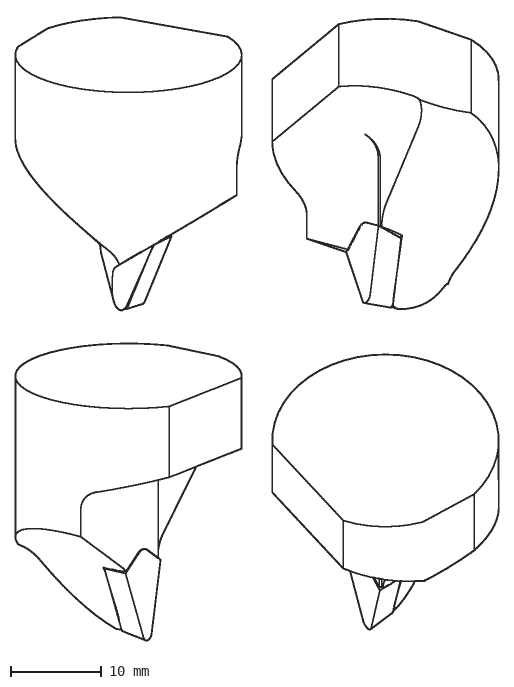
import cadquery as cq
import math

SHANK_DIAMETER = 25.0
FLAT_X = -12.0
FLAT_Y = 10.5
TOOL_LENGTH = 30.0
MARGIN = 9.0

WALL_Y = 2.13
PAD_Y = 2.43
PAD_LEFT_X = -2.25
GULLET_REAR_Z = -8.15
GULLET_CEILING_ANGLE = 14.5
PAD_FILLET = 2.25
WALL_FILLET = 2.55

RAKE_Y = 2.55
INSERT_THICKNESS = 3.3
CLEARANCE_ANGLE = 8.0
NOSE_RADIUS = 0.8
NOSE_X = -0.05
LEFT_EDGE_ANGLE = 11.7
RIGHT_EDGE_ANGLE = 22.3
SHOULDER_Z = -21.3
ROOF_ANGLE = 35.0
ROOF_DIAMETER = 2.8

NECK_FILLET = 3.5
NECK_Z = -21.1
NECK_X = -2.55
LEFT_FLANK_ANGLE = 45.0
LEFT_TIP_ANGLE = 13.8
RELIEF_AXIS_X = 13.15
RELIEF_AXIS_Y = 2.13
RIGHT_FLANK_ANGLE = 35.0
RIGHT_TIP_ANGLE = 23.8
RIGHT_FLANK_Z = -14.95
RIGHT_SETBACK = 0.2
HOLDER_TIP_Z = -29.4

SHANK_RADIUS = SHANK_DIAMETER / 2
INSERT_BACK_Y = RAKE_Y - INSERT_THICKNESS
LEFT_SLOPE = math.tan(math.radians(LEFT_EDGE_ANGLE))
RIGHT_SLOPE = math.tan(math.radians(RIGHT_EDGE_ANGLE))
NOSE_Z = NOSE_RADIUS - TOOL_LENGTH
RIGHT_INSET = (
    INSERT_THICKNESS * math.tan(math.radians(CLEARANCE_ANGLE)) / math.cos(math.radians(RIGHT_EDGE_ANGLE))
)


def polar(center, radius, angle):
    """Point on a circle, with the angle in degrees from +X."""
    turn = math.radians(angle)
    return center[0] + radius * math.cos(turn), center[1] + radius * math.sin(turn)


NOSE_LEFT = polar((NOSE_X, NOSE_Z), NOSE_RADIUS, 180 + LEFT_EDGE_ANGLE)
NOSE_RIGHT = polar((NOSE_X, NOSE_Z), NOSE_RADIUS, -RIGHT_EDGE_ANGLE)


def left_edge_x(z):
    """X of the left cutting edge at a height."""
    return NOSE_LEFT[0] - (z - NOSE_LEFT[1]) * LEFT_SLOPE


def right_edge_x(z):
    """X of the right cutting edge at a height."""
    return NOSE_RIGHT[0] + (z - NOSE_RIGHT[1]) * RIGHT_SLOPE


def make_insert():
    """Pointed insert with drafted sides, a rounded nose and a rounded roof."""
    left_x = left_edge_x(SHOULDER_Z)
    right_x = right_edge_x(SHOULDER_Z)
    roof_radius = ROOF_DIAMETER / 2
    roof = math.radians(ROOF_ANGLE)
    peak_z = SHOULDER_Z + (right_x - left_x) / 2 * math.tan(roof)
    roof_center = ((left_x + right_x) / 2, peak_z - roof_radius / math.cos(roof))
    roof_right = polar(roof_center, roof_radius, 90 - ROOF_ANGLE)
    roof_top = polar(roof_center, roof_radius, 90)
    roof_left = polar(roof_center, roof_radius, 90 + ROOF_ANGLE)
    return (
        cq.Workplane("XZ", origin=(0, RAKE_Y, 0))
        .moveTo(*NOSE_LEFT)
        .threePointArc((NOSE_X, -TOOL_LENGTH), NOSE_RIGHT)
        .lineTo(right_x, SHOULDER_Z)
        .lineTo(*roof_right)
        .threePointArc(roof_top, roof_left)
        .lineTo(left_x, SHOULDER_Z)
        .close()
        .extrude(INSERT_THICKNESS, taper=CLEARANCE_ANGLE)
    )


def make_shank():
    """Round bar with a side flat and a rear flat."""
    bar = cq.Workplane("XY").circle(SHANK_RADIUS).extrude(HOLDER_TIP_Z)
    keep = cq.Workplane("XY").box(SHANK_DIAMETER, SHANK_DIAMETER, TOOL_LENGTH, centered=False)
    return bar.intersect(keep.translate((FLAT_X, FLAT_Y - SHANK_DIAMETER, -TOOL_LENGTH)))


def gullet(wall_y, fillet, start_x, end_x):
    """Clearance behind a vertical wall, below a sloping ceiling, between two X positions."""
    ceiling_slope = math.tan(math.radians(GULLET_CEILING_ANGLE))
    rear_y = FLAT_Y + MARGIN
    rear_z = GULLET_REAR_Z + MARGIN * ceiling_slope
    corner_z = GULLET_REAR_Z - (FLAT_Y - wall_y) * ceiling_slope
    floor_z = -TOOL_LENGTH - MARGIN
    return (
        cq.Workplane("YZ", origin=(start_x, 0, 0))
        .polyline([(wall_y, floor_z), (wall_y, corner_z), (rear_y, rear_z), (rear_y, floor_z)])
        .close()
        .extrude(end_x - start_x)
        .edges(cq.selectors.NearestToPointSelector(((start_x + end_x) / 2, wall_y, corner_z)))
        .fillet(fillet)
    )


def left_flank():
    """Solid of revolution whose outside is the left flank, its neck fillet and the left tip side."""
    fillet_center = (NECK_X - NECK_FILLET, NECK_Z)
    fillet_start = polar(fillet_center, NECK_FILLET, LEFT_FLANK_ANGLE)
    fillet_middle = polar(fillet_center, NECK_FILLET, LEFT_FLANK_ANGLE / 2)
    tip_x = NECK_X + (NECK_Z + TOOL_LENGTH) * math.tan(math.radians(LEFT_TIP_ANGLE))
    rim_x = FLAT_X - MARGIN
    rim_z = fillet_start[1] + (fillet_start[0] - rim_x) * math.tan(math.radians(LEFT_FLANK_ANGLE))
    return (
        cq.Workplane("XZ", origin=(0, RELIEF_AXIS_Y, 0))
        .moveTo(RELIEF_AXIS_X, MARGIN)
        .lineTo(rim_x, MARGIN)
        .lineTo(rim_x, rim_z)
        .lineTo(*fillet_start)
        .threePointArc(fillet_middle, (NECK_X, NECK_Z))
        .lineTo(tip_x, -TOOL_LENGTH)
        .lineTo(RELIEF_AXIS_X, -TOOL_LENGTH)
        .close()
        .revolve(360, (RELIEF_AXIS_X, 0), (RELIEF_AXIS_X, 1))
    )


def right_flank():
    """Prism removed from the right side: sloping flank, neck fillet and right tip side."""
    flank_slope = math.tan(math.radians(RIGHT_FLANK_ANGLE))
    tip_slope = math.tan(math.radians(RIGHT_TIP_ANGLE))
    tip_x = right_edge_x(-TOOL_LENGTH) - RIGHT_INSET - RIGHT_SETBACK
    flank_rise = RIGHT_FLANK_Z + TOOL_LENGTH - (SHANK_RADIUS - tip_x) * flank_slope
    neck_rise = flank_rise / (1 - tip_slope * flank_slope)
    neck = (tip_x + neck_rise * tip_slope, neck_rise - TOOL_LENGTH)
    outer_x = SHANK_RADIUS + MARGIN
    return (
        cq.Workplane("XZ", origin=(0, SHANK_DIAMETER, 0))
        .moveTo(tip_x, -TOOL_LENGTH)
        .lineTo(*neck)
        .lineTo(outer_x, RIGHT_FLANK_Z + MARGIN * flank_slope)
        .lineTo(outer_x, -TOOL_LENGTH)
        .close()
        .extrude(2 * SHANK_DIAMETER)
        .edges(cq.selectors.NearestToPointSelector((neck[0], 0, neck[1])))
        .fillet(NECK_FILLET)
    )


def insert_pocket(insert):
    """Insert shape, opened to full width below its shoulders."""
    opening = cq.Workplane("XY").box(SHANK_DIAMETER, INSERT_THICKNESS, MARGIN, centered=(True, False, False))
    return insert.union(opening.translate((0, INSERT_BACK_Y, SHOULDER_Z - MARGIN)))


def make_holder(insert):
    """Shank ground down to the tip, with a pocket for the insert."""
    return (
        make_shank()
        .intersect(left_flank())
        .cut(right_flank())
        .cut(gullet(PAD_Y, PAD_FILLET, -SHANK_DIAMETER, SHANK_DIAMETER))
        .cut(gullet(WALL_Y, WALL_FILLET, -SHANK_DIAMETER, PAD_LEFT_X))
        .cut(insert_pocket(insert))
    )


insert = make_insert()
holder = make_holder(insert)

result = cq.Compound.makeCompound([holder.solids().val(), insert.val()])